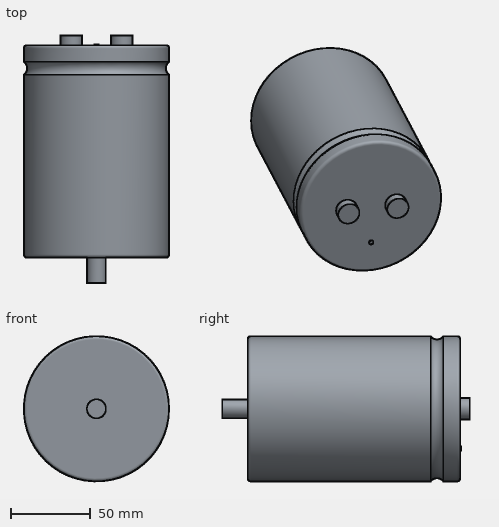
import cadquery as cq

total_length = 155
can_diameter = 91.0
terminal_height = 6.0
stud_length = 16.0
can_length = total_length - terminal_height - stud_length
can_radius = can_diameter / 2
end_fillet = 2.0

rim_height = 10.5
groove_width = 8.0
groove_depth = 2.0

stud_diameter = 12.0
terminal_diameter = 13.6
terminal_spacing = 31.6

vent_diameter = 2.8
vent_height = 0.5
vent_offset = 25.0


def cylinder_along_y(diameter, start_y, end_y, x=0, z=0):
    """Solid cylinder parallel to Y, from start_y up to end_y."""
    return (
        cq.Workplane("XZ", origin=(x, start_y, z))
        .circle(diameter / 2)
        .extrude(start_y - end_y)
    )


def make_can():
    """Revolve the can outline, with its groove, about the Y axis."""
    groove_top = can_length - rim_height
    groove_bottom = groove_top - groove_width
    groove_middle = groove_bottom + groove_width / 2
    can = (
        cq.Workplane("XY")
        .lineTo(can_radius, 0)
        .lineTo(can_radius, groove_bottom)
        .threePointArc((can_radius - groove_depth, groove_middle), (can_radius, groove_top))
        .lineTo(can_radius, can_length)
        .lineTo(0, can_length)
        .close()
        .revolve(360, (0, 0, 0), (0, 1, 0))
    )
    return can.faces("<Y or >Y").edges().fillet(end_fillet)


mounting_stud = cylinder_along_y(stud_diameter, -stud_length, 0)
vent = cylinder_along_y(vent_diameter, can_length, can_length + vent_height, z=-vent_offset)

result = make_can().union(mounting_stud).union(vent)
for side in (-1, 1):
    terminal = cylinder_along_y(
        terminal_diameter,
        can_length,
        can_length + terminal_height,
        x=side * terminal_spacing / 2,
    )
    result = result.union(terminal)